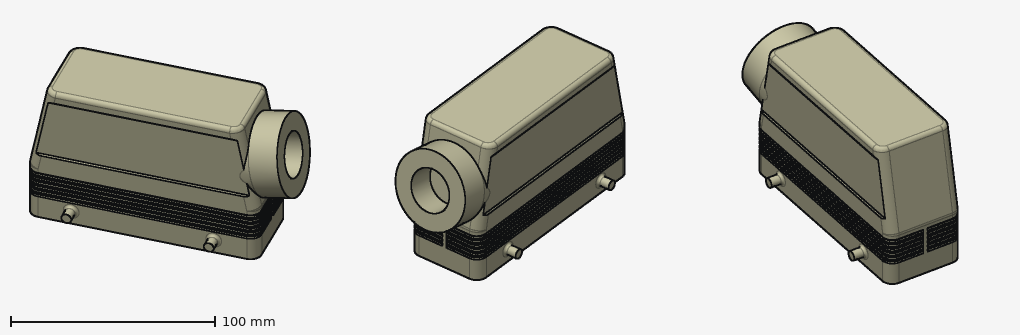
import cadquery as cq
import math

overall_length = 135.2
body_length = 120.0
body_width = 43.0
body_height = 76.0
knee_height = 29.5
knee_radius = 6.1
lean_angle = 11.3
corner_radius = 5.8
top_radius = 2.5

panel_bottom = 37.9
panel_top = 69.2
panel_depth = 0.8

groove_count = 6
groove_span = 12.6
groove_first_height = 13.1
groove_width = 1.6
groove_depth = 0.5
web_width = 2.6

peg_spacing = 74.0
peg_height = 7.6
peg_radius = 2.6
peg_root_radius = 1.5
peg_embed = 1.4
peg_tip_span = 57.0

entry_radius = body_width / 2
entry_mouth_height = 52.2
entry_bore_radius = 11.8
entry_root_depth = 6.8
entry_root_radius = 20.5

groove_pitch = groove_span / (groove_count - 1)
half_length = body_length / 2
half_width = body_width / 2
lean = math.radians(lean_angle)

entry_direction = cq.Vector(math.cos(lean), 0, math.sin(lean))
mouth_centre = cq.Vector(
    overall_length - half_length - entry_radius * math.sin(lean), 0, entry_mouth_height
)
knee_point = cq.Vector(half_length, 0, knee_height)
entry_length = (mouth_centre - knee_point).dot(entry_direction)


def make_body():
    top_half_length = half_length - (body_height - knee_height) * math.tan(lean)
    body = (
        cq.Workplane("XZ")
        .moveTo(-half_length, 0)
        .lineTo(half_length, 0)
        .lineTo(half_length, knee_height)
        .lineTo(top_half_length, body_height)
        .lineTo(-top_half_length, body_height)
        .lineTo(-half_length, knee_height)
        .close()
        .extrude(half_width, both=True)
    )
    knee_edges = body.edges(
        cq.selectors.BoxSelector(
            (-body_length, -body_width, knee_height - knee_radius),
            (body_length, body_width, knee_height + knee_radius),
        )
    ).edges("|Y")
    body = knee_edges.fillet(knee_radius)
    end_outlines = body.faces("<Y or >Y").edges("not |X")
    body = end_outlines.fillet(corner_radius)
    return body.faces(">Z").edges().fillet(top_radius)


def panel_cutter():
    """Bar along the +Y side whose section is the panel recess with its sloping shoulders."""
    return (
        cq.Workplane("YZ")
        .moveTo(half_width - panel_depth, panel_bottom)
        .lineTo(half_width, panel_bottom - panel_depth)
        .lineTo(half_width, panel_top + panel_depth)
        .lineTo(half_width - panel_depth, panel_top)
        .close()
        .extrude(half_length, both=True)
    )


def groove_core(height, direction):
    """Half of the material left inside a groove, flaring outwards from the groove bottom."""
    flare_angle = math.degrees(math.atan2(groove_depth, groove_width / 2))
    bottom_outline = cq.Sketch().rect(body_length - 2 * groove_depth, body_width - 2 * groove_depth)
    bottom_outline = bottom_outline.vertices().fillet(corner_radius - groove_depth)
    return (
        cq.Workplane("XY", origin=(0, 0, height))
        .placeSketch(bottom_outline)
        .extrude(direction * groove_width / 2, taper=-flare_angle)
    )


def groove_cutter(height):
    """V-edged ring around the body, split by the web at the middle of each end."""
    slab = cq.Workplane("XY").box(body_length, body_width, groove_width)
    web = cq.Workplane("XY").box(body_length, web_width, groove_width)
    ring = slab.cut(web).translate((0, 0, height))
    return ring.cut(groove_core(height, 1)).cut(groove_core(height, -1))


def peg(x, side):
    """Round peg with a concave flared root, pointing out of the long side given by its sign."""
    root_end = half_width + peg_root_radius
    flare_mid = peg_root_radius * (1 - math.sqrt(0.5))
    profile = (
        cq.Workplane("XY")
        .moveTo(0, half_width - peg_embed)
        .lineTo(peg_radius + peg_root_radius, half_width - peg_embed)
        .lineTo(peg_radius + peg_root_radius, half_width)
        .threePointArc((peg_radius + flare_mid, half_width + flare_mid), (peg_radius, root_end))
        .lineTo(peg_radius, peg_tip_span / 2)
        .lineTo(0, peg_tip_span / 2)
        .close()
    )
    solid = profile.revolve(360, (0, 0), (0, 1))
    if side < 0:
        solid = solid.mirror("XZ")
    return solid.translate((x, 0, peg_height))


def on_entry_axis(distance):
    """Workplane across the entry axis, at a distance outwards from the +X end face."""
    origin = mouth_centre + entry_direction * (distance - entry_length)
    return cq.Workplane(cq.Plane(origin=origin, xDir=(0, 1, 0), normal=entry_direction))


def cable_entry():
    barrel = on_entry_axis(0).circle(entry_radius).extrude(entry_length)
    root = (
        on_entry_axis(-entry_root_depth)
        .circle(entry_root_radius)
        .workplane(offset=entry_root_depth)
        .circle(entry_radius)
        .loft()
    )
    return barrel.union(root)


result = make_body()

panel = panel_cutter()
result = result.cut(panel).cut(panel.mirror("XZ"))

for i in range(groove_count):
    result = result.cut(groove_cutter(groove_first_height + i * groove_pitch))

for x in (-peg_spacing / 2, peg_spacing / 2):
    for side in (-1, 1):
        result = result.union(peg(x, side))

result = result.union(cable_entry())
result = result.cut(on_entry_axis(0).circle(entry_bore_radius).extrude(entry_length))